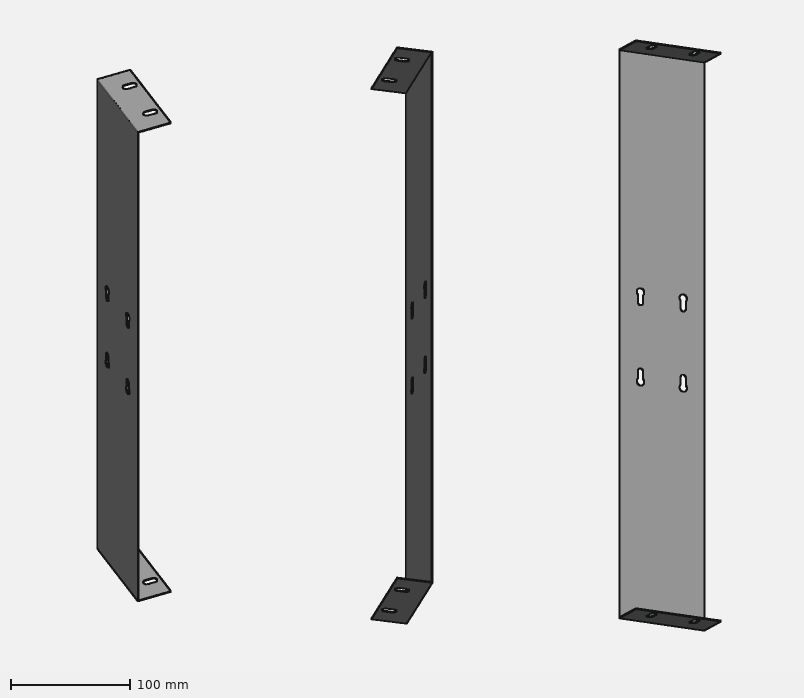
import cadquery as cq

length = 496.5
width = 80.0
depth = 31.0
thickness = 1.0
outer_bend_radius = 0.25

column_spacing = 40.0
keyhole_length = 15.0
keyhole_spacing = 70.0
keyhole_head_diameter = 7.0
keyhole_tail_width = 5.0
flange_slot_length = 12.5
flange_slot_width = 6.0
flange_slot_edge_distance = 10.0

front_y = -depth / 2
back_y = depth / 2


def channel():
    """Flat web with a flange bent backwards at each end."""
    outer = cq.Workplane("XY").box(width, depth, length)
    outer = outer.edges("|X and <Y").fillet(outer_bend_radius)
    inner = (
        cq.Workplane("XY")
        .box(width, depth, length - 2 * thickness)
        .translate((0, thickness, 0))
    )
    return outer.cut(inner)


def keyhole(center_x, side):
    """Keyhole with its head at the outer end; side is +1 above, -1 below mid-length."""
    center_z = side * keyhole_spacing / 2
    head_z = center_z + side * (keyhole_length - keyhole_head_diameter) / 2
    tail_length = keyhole_length - keyhole_head_diameter / 2 + keyhole_tail_width / 2
    tail_z = center_z - side * (keyhole_length - tail_length) / 2
    web_back = cq.Workplane("XZ", origin=(0, front_y + thickness, 0))
    head = web_back.center(center_x, head_z).circle(keyhole_head_diameter / 2).extrude(thickness)
    tail = (
        web_back.center(center_x, tail_z)
        .slot2D(tail_length, keyhole_tail_width, 90)
        .extrude(thickness)
    )
    return head.union(tail)


def flange_slots():
    """Slot pairs along Y, passing through both flanges."""
    slot_y = back_y - flange_slot_edge_distance
    return (
        cq.Workplane("XY", origin=(0, slot_y, -length / 2))
        .rarray(column_spacing, 5, 2, 1)
        .slot2D(flange_slot_length, flange_slot_width, 90)
        .extrude(length)
    )


result = channel().cut(flange_slots())
for keyhole_x in (-column_spacing / 2, column_spacing / 2):
    for keyhole_side in (1, -1):
        result = result.cut(keyhole(keyhole_x, keyhole_side))